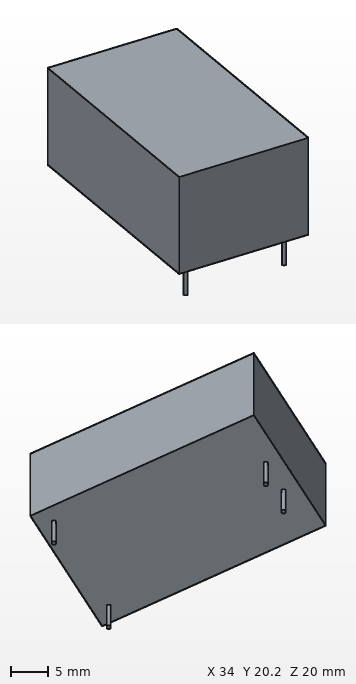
import cadquery as cq

HOUSING_LENGTH = 34.0
HOUSING_WIDTH = 20.2
HOUSING_HEIGHT = 15.0

PIN_DIAMETER = 0.6
PIN_LENGTH = 5.0
PIN_ROW_SPACING = 29.4
INNER_PAIR_SPACING = 5.0
OUTER_PAIR_SPACING = 15.4


def make_housing():
    """Plain block with its underside on Z = 0."""
    return cq.Workplane("XY").box(
        HOUSING_LENGTH, HOUSING_WIDTH, HOUSING_HEIGHT, centered=(True, True, False)
    )


def make_pin(x, y):
    """Straight pin hanging from the underside of the housing."""
    return cq.Workplane("XY").center(x, y).circle(PIN_DIAMETER / 2).extrude(-PIN_LENGTH)


housing = make_housing()

pins = []
for row_side, pair_spacing in [(-1, INNER_PAIR_SPACING), (1, OUTER_PAIR_SPACING)]:
    for pin_side in (-1, 1):
        pins.append(make_pin(row_side * PIN_ROW_SPACING / 2, pin_side * pair_spacing / 2))

result = cq.Compound.makeCompound([housing.val(), *[pin.val() for pin in pins]])